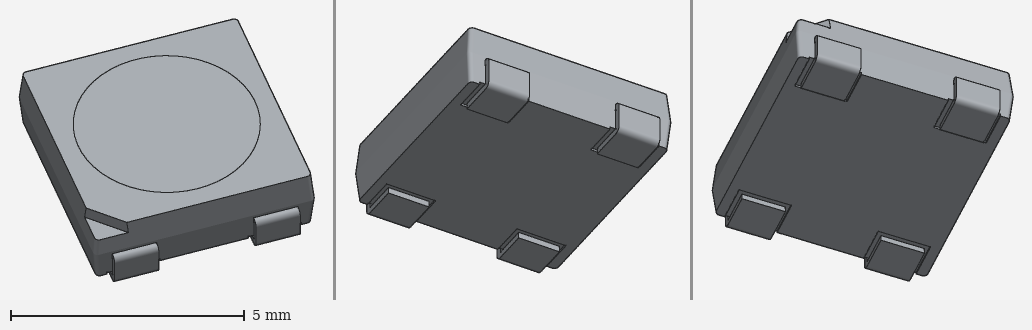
import cadquery as cq
import math

overall_length = 5.3
overall_height = 1.6
body_width = 5.0
body_bottom = 0.14
draft_angle = 5.0
corner_radius = 0.1
half_height = (overall_height - body_bottom) / 2
parting_z = body_bottom + half_height
face_width = body_width - 2 * half_height * math.tan(math.radians(draft_angle))

notch_leg = 0.685
notch_depth = 0.3

lens_diameter = 4.0
lens_depth = half_height

lead_thickness = 0.15
lead_width = 1.0
lead_top = 0.8
lead_spacing = 3.2
foot_length = 0.95
arm_length = 2 * lead_thickness

relief_side_gap = 0.1
relief_top = 0.19
relief_width = lead_width + 2 * relief_side_gap


def make_body_half():
    """Upper half of the drafted block, with rounded corners."""
    return (
        cq.Workplane("XY", origin=(0, 0, parting_z))
        .rect(body_width, body_width)
        .extrude(half_height, taper=draft_angle)
        .edges("not(#Z)")
        .fillet(corner_radius)
    )


def make_notch():
    """Triangular prism that removes the marked top corner."""
    outer = body_width / 2
    edge = face_width / 2
    cut_start = 2 * edge - notch_leg - outer
    return (
        cq.Workplane("XY", origin=(0, 0, overall_height - notch_depth))
        .moveTo(cut_start, -outer)
        .lineTo(outer, -outer)
        .lineTo(outer, -cut_start)
        .close()
        .extrude(notch_depth)
    )


def make_lens():
    """Disc set into the top of the housing."""
    return (
        cq.Workplane("XY", origin=(0, 0, overall_height - lens_depth))
        .circle(lens_diameter / 2)
        .extrude(lens_depth)
    )


def make_lead(y_center):
    """One lead on the -X side, centred at y_center."""
    outer = -overall_length / 2
    inner = outer + lead_thickness
    return (
        cq.Workplane("XZ", origin=(0, y_center + lead_width / 2, 0))
        .moveTo(outer + foot_length, 0)
        .lineTo(inner, 0)
        .radiusArc((outer, lead_thickness), lead_thickness)
        .lineTo(outer, lead_top - lead_thickness)
        .radiusArc((inner, lead_top), lead_thickness)
        .lineTo(outer + arm_length, lead_top)
        .lineTo(outer + arm_length, lead_top - lead_thickness)
        .lineTo(inner, lead_top - lead_thickness)
        .lineTo(inner, lead_thickness)
        .lineTo(outer + foot_length, lead_thickness)
        .close()
        .extrude(lead_width)
    )


def make_relief(y_center):
    """Pocket volume around one foot on the -X side, open to the side and below."""
    length = foot_length + relief_side_gap
    return (
        cq.Workplane("XY")
        .center(-overall_length / 2 + length / 2, y_center)
        .rect(length, relief_width)
        .extrude(relief_top)
    )


def make_housing():
    """Housing with its four leads fixed in its side walls."""
    upper = make_body_half()
    lower = upper.mirror("XY", (0, 0, parting_z))
    housing = upper.union(lower, clean=False).cut(make_notch()).cut(make_lens())
    for y_center in (-lead_spacing / 2, lead_spacing / 2):
        relief = make_relief(y_center)
        lead = make_lead(y_center)
        housing = housing.cut(relief).cut(relief.mirror("YZ"))
        housing = housing.union(lead).union(lead.mirror("YZ"))
    return housing


housing = make_housing()
lens = make_lens()
result = cq.Compound.makeCompound([housing.solids().val(), lens.val()])